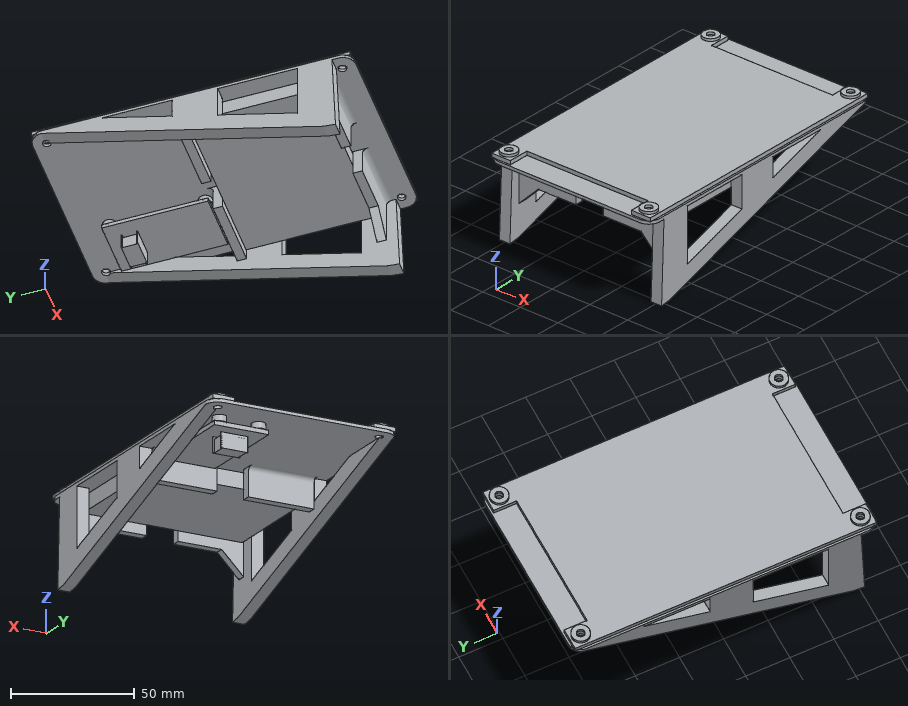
import cadquery as cq

deck_width = 86.1
deck_length = 138.5
deck_thickness = 1.5
hole_inset = 6.0
screw_hole_diameter = 3.5

leg_thickness = 5.7
leg_rear_y = 63.7
leg_front_y = -60.8
leg_height = 39.6
foot_front_y = -62.3
heel_y = -57.0
heel_z = -38.9
strut_depth = 8.5
rear_window_front_y = 7.6
front_window_rear_y = -11.9
front_window_front_y = -46.0

battery_height = 7.0
battery_clearance = 1.4
battery_width = 73.4
wall_rear_y = 7.2
wall_front_y = -56.6
wall_thickness = 4.0
wall_height = 13.0
wall_gap_width = 14.4
gusset_size = 10.1
wall_fillet = 2.5

panel_width = 84.2
panel_length = 136.5
panel_thickness = 2.0
notch_width = 64.3
notch_depth = 10.4

washer_diameter = 8.0
washer_thickness = 1.2

board_rear_y = 55.8
board_length = 45.5
board_width = 24.9
board_thickness = 2.0
board_center_x = 22.2
standoff_diameter = 6.0
standoff_height = 2.8
standoff_span_y = 41.0
standoff_span_x = 18.0
connector_length = 7.2
connector_width = 12.5
connector_height = 6.9
connector_center_y = 46.1
cheek_thickness = 0.5
connector_gap = 1.0
connector_block_width = 11.1

hole_x = deck_width / 2 - hole_inset
hole_y = deck_length / 2 - hole_inset
hole_points = [(x, y) for x in (-hole_x, hole_x) for y in (-hole_y, hole_y)]
leg_inner_x = deck_width / 2 - leg_thickness
inner_width = 2 * leg_inner_x
leg_slope = -heel_z / (leg_rear_y - heel_y)
panel_top_z = deck_thickness + panel_thickness
board_center_y = board_rear_y - board_length / 2
board_top_z = -standoff_height
standoff_points = [
    (board_center_x + sx * standoff_span_x / 2, board_center_y + sy * standoff_span_y / 2)
    for sx in (-1, 1)
    for sy in (-1, 1)
]


def strut_top_z(y):
    """Height of the sloping window edge, parallel to the underside of the leg."""
    return strut_depth - leg_slope * (leg_rear_y - y)


def make_leg(start_x):
    """Triangular side leg with two windows; start_x is the X of its -X face."""
    outline = [
        (leg_rear_y, 0),
        (heel_y, heel_z),
        (foot_front_y, -leg_height),
        (leg_front_y, 0),
    ]
    rear_window = [
        (leg_rear_y - strut_depth / leg_slope, 0),
        (rear_window_front_y, 0),
        (rear_window_front_y, strut_top_z(rear_window_front_y)),
    ]
    front_window = [
        (front_window_rear_y, 0),
        (front_window_front_y, 0),
        (front_window_front_y, strut_top_z(front_window_front_y)),
        (front_window_rear_y, strut_top_z(front_window_rear_y)),
    ]
    plane = cq.Workplane("YZ", origin=(start_x, 0, 0))
    leg = plane.polyline(outline).close().extrude(leg_thickness)
    for window in (rear_window, front_window):
        leg = leg.cut(plane.polyline(window).close().extrude(leg_thickness))
    return leg


def make_cross_wall(front_y, outer_y, outward):
    """Wall between the legs, open in the middle, filleted to the deck on its outer face."""
    wall_outline = [
        (-leg_inner_x, 0),
        (leg_inner_x, 0),
        (leg_inner_x, -wall_height),
        (-leg_inner_x, -wall_height),
    ]
    wall = (
        cq.Workplane("XZ", origin=(0, front_y, 0))
        .polyline(wall_outline)
        .close()
        .extrude(-wall_thickness)
    )
    fillet_end_y = outer_y + outward * wall_fillet
    fillet = (
        cq.Workplane("YZ", origin=(-leg_inner_x, 0, 0))
        .moveTo(outer_y, 0)
        .lineTo(fillet_end_y, 0)
        .radiusArc((outer_y, -wall_fillet), -outward * wall_fillet)
        .close()
        .extrude(inner_width)
    )
    gap = cq.Workplane("XY").rect(wall_gap_width, deck_length).extrude(-wall_height)
    return wall.union(fillet).cut(gap)


def make_gussets():
    """Triangular pieces below the front wall that brace it against both legs."""
    gusset = (
        cq.Workplane("XZ", origin=(0, wall_front_y, -wall_height))
        .moveTo(-leg_inner_x, 0)
        .lineTo(gusset_size - leg_inner_x, 0)
        .lineTo(-leg_inner_x, -gusset_size)
        .close()
        .extrude(-wall_thickness)
    )
    return gusset.union(gusset.mirror("YZ"))


def make_stand():
    """Deck with its legs, battery walls and board standoffs."""
    deck = (
        cq.Workplane("XY")
        .rect(deck_width, deck_length)
        .extrude(deck_thickness)
        .edges("|Z")
        .fillet(leg_thickness)
    )
    drill = cq.Workplane("XY").pushPoints(hole_points).circle(screw_hole_diameter / 2)
    stand = deck.cut(drill.extrude(deck_thickness))
    for start_x in (-deck_width / 2, leg_inner_x):
        stand = stand.union(make_leg(start_x))
    stand = stand.union(make_cross_wall(wall_front_y, wall_front_y, -1))
    stand = stand.union(make_cross_wall(wall_rear_y - wall_thickness, wall_rear_y, 1))
    stand = stand.union(make_gussets())
    standoffs = cq.Workplane("XY").pushPoints(standoff_points).circle(standoff_diameter / 2)
    stand = stand.union(standoffs.extrude(-standoff_height))
    leg_drill = cq.Workplane("XY").center(hole_x, hole_y).circle(screw_hole_diameter / 2)
    return stand.cut(leg_drill.extrude(-leg_height))


def make_panel():
    """Display panel with a full-depth notch in the middle of each short side."""
    base = cq.Workplane("XY", origin=(0, 0, deck_thickness))
    panel = base.rect(panel_width, panel_length).extrude(panel_thickness)
    notch_y = (panel_length - notch_depth) / 2
    notch_points = [(0, -notch_y), (0, notch_y)]
    notches = base.pushPoints(notch_points).rect(notch_width, notch_depth).extrude(panel_thickness)
    holes = base.pushPoints(hole_points).circle(screw_hole_diameter / 2).extrude(panel_thickness)
    return panel.cut(notches).cut(holes)


def make_washer(x, y):
    return (
        cq.Workplane("XY", origin=(x, y, panel_top_z))
        .circle(washer_diameter / 2)
        .circle(screw_hole_diameter / 2)
        .extrude(washer_thickness)
    )


def make_battery():
    front_y = wall_front_y + wall_thickness
    rear_y = wall_rear_y - wall_thickness
    return (
        cq.Workplane("XY", origin=(0, (front_y + rear_y) / 2, -battery_clearance))
        .rect(battery_width, rear_y - front_y)
        .extrude(-battery_height)
    )


def make_board():
    """Circuit board with a connector below it: a block held between two thin cheeks."""
    board = (
        cq.Workplane("XY", origin=(board_center_x, board_center_y, board_top_z))
        .rect(board_width, board_length)
        .extrude(-board_thickness)
    )
    board_bottom_z = board_top_z - board_thickness
    cheek_offset = (connector_length - cheek_thickness) / 2
    cheeks = (
        cq.Workplane("XY", origin=(board_center_x, connector_center_y, board_bottom_z))
        .pushPoints([(0, -cheek_offset), (0, cheek_offset)])
        .rect(connector_width, cheek_thickness)
        .extrude(-connector_height)
    )
    block_top_z = board_bottom_z - connector_gap
    block = (
        cq.Workplane("XY", origin=(board_center_x, connector_center_y, block_top_z))
        .rect(connector_block_width, connector_length - 2 * cheek_thickness)
        .extrude(connector_gap - connector_height)
    )
    return board.union(cheeks).union(block)


stand = make_stand()
panel = make_panel()
washers = [make_washer(x, y) for x, y in hole_points]
battery = make_battery()
board = make_board()

result = cq.Compound.makeCompound(
    [stand.val(), panel.val(), *[washer.val() for washer in washers], battery.val(), board.val()]
)